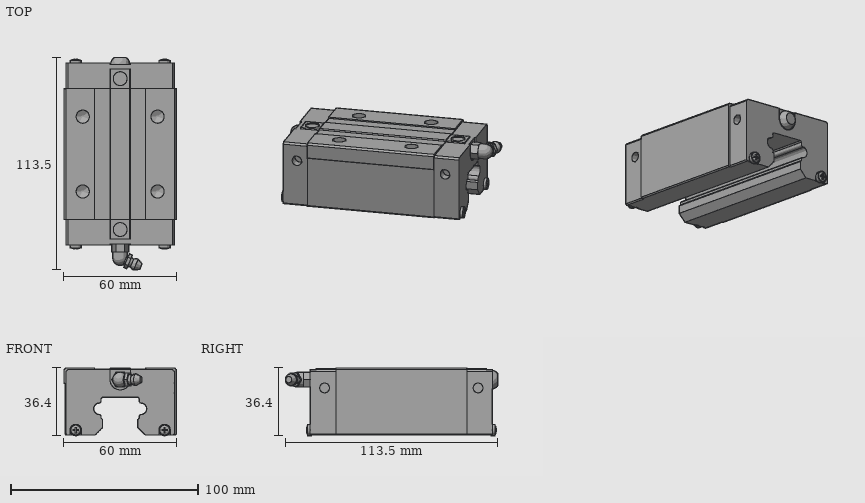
import cadquery as cq
import math

OVERALL_LENGTH = 113.5
BLOCK_LENGTH = 70.0
CAP_LENGTH = 10.4
PLATE_THICKNESS = 3.2
SEAT_DEPTH = 0.7
PLATE_INNER_Y = BLOCK_LENGTH / 2 + CAP_LENGTH
PLATE_FACE_Y = PLATE_INNER_Y + PLATE_THICKNESS
SEAT_FACE_Y = PLATE_FACE_Y - SEAT_DEPTH

BLOCK_WIDTH = 60.0
BLOCK_HALF_WIDTH = BLOCK_WIDTH / 2
BLOCK_TOP_Z = 36.0
BLOCK_CHAMFER = 1.0
BOTTOM_CHAMFER = 0.7
RELIEF_DEPTH = 0.5
RELIEF_TOP_Z = 27.6
LOWERED_TOP_Z = 35.3
MOUNTING_PAD_INNER_X = 13.6

CAP_HALF_WIDTH = 29.0
CAP_TOP_Z = 35.0
CAP_CHAMFER = 1.0

STRIP_TOP_HALF_WIDTH = 5.1
STRIP_BASE_HALF_WIDTH = 5.6
CAP_STRIP_TOP_Z = 35.5

CHANNEL_TOP_Z = 20.2
CHANNEL_TOP_HALF_WIDTH = 9.5
NECK_HALF_WIDTH = 10.1
RACEWAY_Z = 14.1
RACEWAY_DEPTH_X = 14.1
RACEWAY_LIP_X = 11.7
RACEWAY_LIP_HEIGHT = 3.0
NECK_HEIGHT = 4.3
LIP_ARC_X = 10.4
LIP_ARC_HEIGHT = 3.4
UPPER_NECK_Z = 19.4
LOWER_HALF_WIDTH = 9.3
LOWER_NECK_Z = 9.1
LOWER_TOP_Z = 8.3
LOWER_BOTTOM_Z = 4.1
MOUTH_HALF_WIDTH = 13.4

MOUNT_HOLE_DIAMETER = 7.0
MOUNT_HOLE_SPACING = 40.0
MOUNT_HOLE_DEPTH = 12.0
DRILL_POINT_ANGLE = 118
TOP_PORT_DIAMETER = 7.4
TOP_PORT_DEPTH = 0.6
TOP_PORT_Y = 40.3
SIDE_PORT_DIAMETER = 5.2
SIDE_PORT_DEPTH = 5.7
SIDE_PORT_Y = 41.0
SIDE_PORT_Z = 25.2

SCREW_X = 23.7
SCREW_Z = 2.7
SCREW_RADIUS = 3.1
SCREW_DOME_RADIUS = 2.6
SCREW_RIM_Y = 50.1
SCREW_TIP_Y = 50.7
SCREW_SLOT_LENGTH = 3.0
SCREW_SLOT_WIDTH = 0.7
SCREW_SLOT_DEPTH = 1.0

PORT_Z = 29.6
PORT_SEAT_RADIUS = 5.5
PLUG_RADIUS = 5.1
PLUG_FACE_RADIUS = 3.2
HEX_FLATS = 8.0
HEX_END_Y = 52.3
ELBOW_RADIUS = 4.0
ELBOW_CENTRE_Y = 55.5
NIPPLE_ANGLE = 22.5
NIPPLE_HEX_FLATS = 6.9
NIPPLE_HEX_START = 3.6
NIPPLE_HEX_END = 5.5
NIPPLE_BASE_RADIUS = 2.7
NIPPLE_NECK_RADIUS = 2.3
NIPPLE_BALL_RADIUS = 3.2
NIPPLE_BALL_CENTRE = 9.1
NIPPLE_TIP_RADIUS = 1.7
NIPPLE_TIP = 12.0

NIPPLE_TILT = math.radians(NIPPLE_ANGLE)
NIPPLE_REACH_Y = (
    ELBOW_CENTRE_Y
    + NIPPLE_BALL_CENTRE * math.sin(NIPPLE_TILT)
    + NIPPLE_BALL_RADIUS * math.cos(NIPPLE_TILT)
)
PLUG_FACE_Y = OVERALL_LENGTH - NIPPLE_REACH_Y


def extrude_along_y(profile, y_start, y_end):
    """Extrude a closed XZ sketch (on the "XZ" plane) between two Y values."""
    return profile.extrude(y_end - y_start).translate((0, y_end, 0))


def steel_block():
    """Steel block with two raised mounting pads; the -X side is relieved low down."""
    w = BLOCK_HALF_WIDTH
    relieved = w - RELIEF_DEPTH
    profile = cq.Workplane("XZ").polyline([
        (-relieved + BOTTOM_CHAMFER, 0),
        (w - BOTTOM_CHAMFER, 0),
        (w, BOTTOM_CHAMFER),
        (w, BLOCK_TOP_Z - BLOCK_CHAMFER),
        (w - BLOCK_CHAMFER, BLOCK_TOP_Z),
        (MOUNTING_PAD_INNER_X, BLOCK_TOP_Z),
        (MOUNTING_PAD_INNER_X, LOWERED_TOP_Z),
        (-MOUNTING_PAD_INNER_X, LOWERED_TOP_Z),
        (-MOUNTING_PAD_INNER_X, BLOCK_TOP_Z),
        (-w + BLOCK_CHAMFER, BLOCK_TOP_Z),
        (-w, BLOCK_TOP_Z - BLOCK_CHAMFER),
        (-w, RELIEF_TOP_Z),
        (-relieved, RELIEF_TOP_Z),
        (-relieved, BOTTOM_CHAMFER),
    ]).close()
    return extrude_along_y(profile, -BLOCK_LENGTH / 2, BLOCK_LENGTH / 2)


def end_caps():
    """End caps and end plates as one bar that runs through the steel block."""
    w = CAP_HALF_WIDTH
    profile = cq.Workplane("XZ").polyline([
        (-w + BOTTOM_CHAMFER, 0),
        (w - BOTTOM_CHAMFER, 0),
        (w, BOTTOM_CHAMFER),
        (w, CAP_TOP_Z - CAP_CHAMFER),
        (w - CAP_CHAMFER, CAP_TOP_Z),
        (-w + CAP_CHAMFER, CAP_TOP_Z),
        (-w, CAP_TOP_Z - CAP_CHAMFER),
        (-w, BOTTOM_CHAMFER),
    ]).close()
    return extrude_along_y(profile, -PLATE_FACE_Y, PLATE_FACE_Y)


def centre_strip(base_z, top_z, half_length):
    """Raised strip with sloping sides, centred on X = 0 and Y = 0."""
    profile = cq.Workplane("XZ").polyline([
        (-STRIP_BASE_HALF_WIDTH, base_z),
        (STRIP_BASE_HALF_WIDTH, base_z),
        (STRIP_TOP_HALF_WIDTH, top_z),
        (-STRIP_TOP_HALF_WIDTH, top_z),
    ]).close()
    return extrude_along_y(profile, -half_length, half_length)


def rail_channel():
    """Rail channel with a round raceway in each side, symmetric about the YZ plane."""
    half = (
        cq.Workplane("XZ")
        .moveTo(0, CHANNEL_TOP_Z)
        .lineTo(CHANNEL_TOP_HALF_WIDTH, CHANNEL_TOP_Z)
        .lineTo(NECK_HALF_WIDTH, UPPER_NECK_Z)
        .lineTo(NECK_HALF_WIDTH, RACEWAY_Z + NECK_HEIGHT)
        .threePointArc((LIP_ARC_X, RACEWAY_Z + LIP_ARC_HEIGHT),
                       (RACEWAY_LIP_X, RACEWAY_Z + RACEWAY_LIP_HEIGHT))
        .threePointArc((RACEWAY_DEPTH_X, RACEWAY_Z),
                       (RACEWAY_LIP_X, RACEWAY_Z - RACEWAY_LIP_HEIGHT))
        .threePointArc((LIP_ARC_X, RACEWAY_Z - LIP_ARC_HEIGHT),
                       (NECK_HALF_WIDTH, RACEWAY_Z - NECK_HEIGHT))
        .lineTo(NECK_HALF_WIDTH, LOWER_NECK_Z)
        .lineTo(LOWER_HALF_WIDTH, LOWER_TOP_Z)
        .lineTo(LOWER_HALF_WIDTH, LOWER_BOTTOM_Z)
        .lineTo(MOUTH_HALF_WIDTH, 0)
        .lineTo(0, 0)
        .close()
    )
    channel = extrude_along_y(half, -PLATE_FACE_Y, PLATE_FACE_Y)
    return channel.union(channel.mirror("YZ"))


def mounting_holes():
    radius = MOUNT_HOLE_DIAMETER / 2
    point_depth = radius / math.tan(math.radians(DRILL_POINT_ANGLE / 2))
    floor_z = BLOCK_TOP_Z - MOUNT_HOLE_DEPTH
    drill = (
        cq.Workplane("XZ")
        .polyline([(0, BLOCK_TOP_Z), (radius, BLOCK_TOP_Z),
                   (radius, floor_z), (0, floor_z - point_depth)])
        .close()
        .revolve(360, (0, 0, 0), (0, 1, 0))
    )
    half = MOUNT_HOLE_SPACING / 2
    holes = cq.Workplane("XY")
    for x in (-half, half):
        for y in (-half, half):
            holes = holes.union(drill.translate((x, y, 0)))
    return holes


def cap_ports():
    """Shallow round ports on the cap strips and blind ports in the cap sides."""
    ports = (
        cq.Workplane("XY", origin=(0, 0, CAP_STRIP_TOP_Z - TOP_PORT_DEPTH))
        .pushPoints([(0, -TOP_PORT_Y), (0, TOP_PORT_Y)])
        .circle(TOP_PORT_DIAMETER / 2)
        .extrude(TOP_PORT_DEPTH)
    )
    side_port = (
        cq.Workplane("YZ", origin=(CAP_HALF_WIDTH - SIDE_PORT_DEPTH, 0, 0))
        .pushPoints([(-SIDE_PORT_Y, SIDE_PORT_Z), (SIDE_PORT_Y, SIDE_PORT_Z)])
        .circle(SIDE_PORT_DIAMETER / 2)
        .extrude(SIDE_PORT_DEPTH)
    )
    return ports.union(side_port).union(side_port.mirror("YZ"))


def seat(x, z, radius, open_z):
    """Recess in the -Y plate: a round end at (x, z), open up or down to open_z."""
    round_end = cq.Workplane("XZ").center(x, z).circle(radius)
    slot = cq.Workplane("XZ").center(x, (z + open_z) / 2).rect(2 * radius, abs(open_z - z))
    return (
        extrude_along_y(round_end, -PLATE_FACE_Y, -SEAT_FACE_Y)
        .union(extrude_along_y(slot, -PLATE_FACE_Y, -SEAT_FACE_Y))
    )


def plate_seats():
    seats = seat(0, PORT_Z, PORT_SEAT_RADIUS, CAP_TOP_Z)
    for x in (-SCREW_X, SCREW_X):
        seats = seats.union(seat(x, SCREW_Z, SCREW_RADIUS, 0))
    return seats.union(seats.mirror("XZ"))


def turned_along_y(profile):
    """Revolve a sketch drawn on the "XY" plane about the Y axis."""
    return profile.close().revolve(360, (0, 0, 0), (0, 1, 0))


def screw():
    """Domed cross-recess screw head facing +Y, centred on the Y axis."""
    dome_height = SCREW_TIP_Y - SCREW_RIM_Y
    dome_curvature_radius = (SCREW_DOME_RADIUS**2 + dome_height**2) / (2 * dome_height)
    head = turned_along_y(
        cq.Workplane("XY")
        .moveTo(0, SEAT_FACE_Y)
        .lineTo(SCREW_RADIUS, SEAT_FACE_Y)
        .lineTo(SCREW_RADIUS, SCREW_RIM_Y)
        .lineTo(SCREW_DOME_RADIUS, SCREW_RIM_Y)
        .radiusArc((0, SCREW_TIP_Y), -dome_curvature_radius)
    )
    slots = (
        cq.Workplane("XY")
        .box(SCREW_SLOT_LENGTH, 2 * SCREW_SLOT_DEPTH, SCREW_SLOT_WIDTH)
        .union(cq.Workplane("XY").box(SCREW_SLOT_WIDTH, 2 * SCREW_SLOT_DEPTH, SCREW_SLOT_LENGTH))
        .translate((0, SCREW_TIP_Y, 0))
    )
    return head.cut(slots)


def plug():
    """Rounded plug closing the +Y lubrication port."""
    height = PLUG_FACE_Y - SEAT_FACE_Y
    inset = PLUG_RADIUS - PLUG_FACE_RADIUS
    side_radius = (height**2 + inset**2) / (2 * inset)
    profile = (
        cq.Workplane("XY")
        .moveTo(0, SEAT_FACE_Y)
        .lineTo(PLUG_RADIUS, SEAT_FACE_Y)
        .radiusArc((PLUG_FACE_RADIUS, PLUG_FACE_Y), -side_radius)
        .lineTo(0, PLUG_FACE_Y)
    )
    return turned_along_y(profile).translate((0, 0, PORT_Z))


def hexagon_section(across_flats):
    """Hexagon on the "XZ" plane with two corners on the X axis."""
    across_corners = across_flats / math.cos(math.radians(30))
    return cq.Workplane("XZ").polygon(6, across_corners)


def nipple_head():
    """Straight nipple along +Y, starting at the elbow centre (the origin)."""
    neck_end = NIPPLE_BALL_CENTRE - math.sqrt(NIPPLE_BALL_RADIUS**2 - NIPPLE_NECK_RADIUS**2)
    ball_and_stem = turned_along_y(
        cq.Workplane("XY")
        .lineTo(NIPPLE_BASE_RADIUS, 0)
        .lineTo(NIPPLE_BASE_RADIUS, NIPPLE_HEX_END)
        .lineTo(NIPPLE_NECK_RADIUS, neck_end)
        .radiusArc((NIPPLE_BALL_RADIUS, NIPPLE_BALL_CENTRE), -NIPPLE_BALL_RADIUS)
        .lineTo(NIPPLE_TIP_RADIUS, NIPPLE_TIP)
        .lineTo(0, NIPPLE_TIP)
    )
    hexagon = hexagon_section(NIPPLE_HEX_FLATS)
    return ball_and_stem.union(extrude_along_y(hexagon, NIPPLE_HEX_START, NIPPLE_HEX_END))


def elbow_nipple():
    """Hexagon base and round elbow pointing to -Y, with the nipple turned towards +X."""
    hexagon = hexagon_section(HEX_FLATS)
    stem = cq.Workplane("XZ").circle(ELBOW_RADIUS)
    elbow_end = (0, -ELBOW_CENTRE_Y, 0)
    head = nipple_head().rotate((0, 0, 0), (0, 0, 1), -90 - NIPPLE_ANGLE)
    return (
        extrude_along_y(hexagon, -HEX_END_Y, -SEAT_FACE_Y)
        .union(extrude_along_y(stem, -ELBOW_CENTRE_Y, -SEAT_FACE_Y))
        .union(cq.Workplane("XY").sphere(ELBOW_RADIUS).translate(elbow_end))
        .union(head.translate(elbow_end))
        .translate((0, 0, PORT_Z))
    )


body = steel_block().union(end_caps())
body = body.union(centre_strip(LOWERED_TOP_Z, BLOCK_TOP_Z, BLOCK_LENGTH / 2))
body = body.union(centre_strip(CAP_TOP_Z, CAP_STRIP_TOP_Z, PLATE_INNER_Y))
for cutter in (rail_channel(), mounting_holes(), cap_ports(), plate_seats()):
    body = body.cut(cutter)

for x in (-SCREW_X, SCREW_X):
    placed_screw = screw().translate((x, 0, SCREW_Z))
    body = body.union(placed_screw).union(placed_screw.mirror("XZ"))
result = body.union(plug()).union(elbow_nipple())